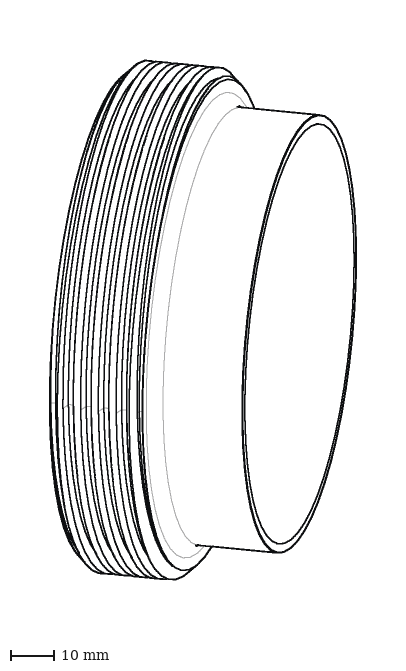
import cadquery as cq
import math

total_length = 44.45
bore_diameter = 97.38
tube_diameter = 101.6
collar_length = 22.225
neck_fillet_radius = 3.175
end_chamfer = 0.127

thread_major_diameter = 118.95
thread_root_diameter = 114.02
threads_per_inch = 6
thread_pitch = 25.4 / threads_per_inch
flank_angle = 14.5
collar_chamfer = 2.54
groove_root_width = 1.2
groove_offset = 0.9

bore_radius = bore_diameter / 2
tube_radius = tube_diameter / 2
major_radius = thread_major_diameter / 2
root_radius = thread_root_diameter / 2
thread_depth = major_radius - root_radius


def make_body():
    """Ring with a chamfered collar, a filleted neck and a tube with a chamfered rim."""
    fillet_end_x = collar_length + neck_fillet_radius
    fillet_centre_radius = tube_radius + neck_fillet_radius
    arc_offset = neck_fillet_radius * math.sqrt(0.5)
    fillet_middle = (fillet_end_x - arc_offset, fillet_centre_radius - arc_offset)
    return (
        cq.Workplane("XY")
        .moveTo(0, bore_radius)
        .lineTo(0, major_radius - collar_chamfer)
        .lineTo(collar_chamfer, major_radius)
        .lineTo(collar_length - collar_chamfer, major_radius)
        .lineTo(collar_length, major_radius - collar_chamfer)
        .lineTo(collar_length, fillet_centre_radius)
        .threePointArc(fillet_middle, (fillet_end_x, tube_radius))
        .lineTo(total_length - end_chamfer, tube_radius)
        .lineTo(total_length, tube_radius - end_chamfer)
        .lineTo(total_length, bore_radius)
        .close()
        .revolve(360, (0, 0, 0), (1, 0, 0))
    )


def make_groove_turn():
    """One turn of the helical trapezoidal thread groove, starting at X = 0 on the -Y side."""
    overcut = 0.5
    cutter_radius = major_radius + overcut
    flank_run = (thread_depth + overcut) * math.tan(math.radians(flank_angle))
    root_half_width = groove_root_width / 2
    outer_half_width = root_half_width + flank_run

    helix = cq.Wire.makeHelix(thread_pitch, thread_pitch, root_radius)
    turn = (
        cq.Workplane("XZ")
        .polyline([
            (root_radius, -root_half_width),
            (cutter_radius, -outer_half_width),
            (cutter_radius, outer_half_width),
            (root_radius, root_half_width),
        ])
        .close()
        .sweep(cq.Workplane(obj=helix), isFrenet=True)
    )
    return turn.rotate((0, 0, 0), (0, 1, 0), 90).rotate((0, 0, 0), (1, 0, 0), -90)


def cut_thread(body):
    """Cut the groove turn by turn, from before the collar face to past the collar shoulder."""
    turn = make_groove_turn()
    first_start = groove_offset - thread_pitch
    turn_count = math.ceil((collar_length - first_start) / thread_pitch) + 1
    for index in range(turn_count):
        body = body.cut(turn.translate((first_start + index * thread_pitch, 0, 0)))
    return body


result = cut_thread(make_body())